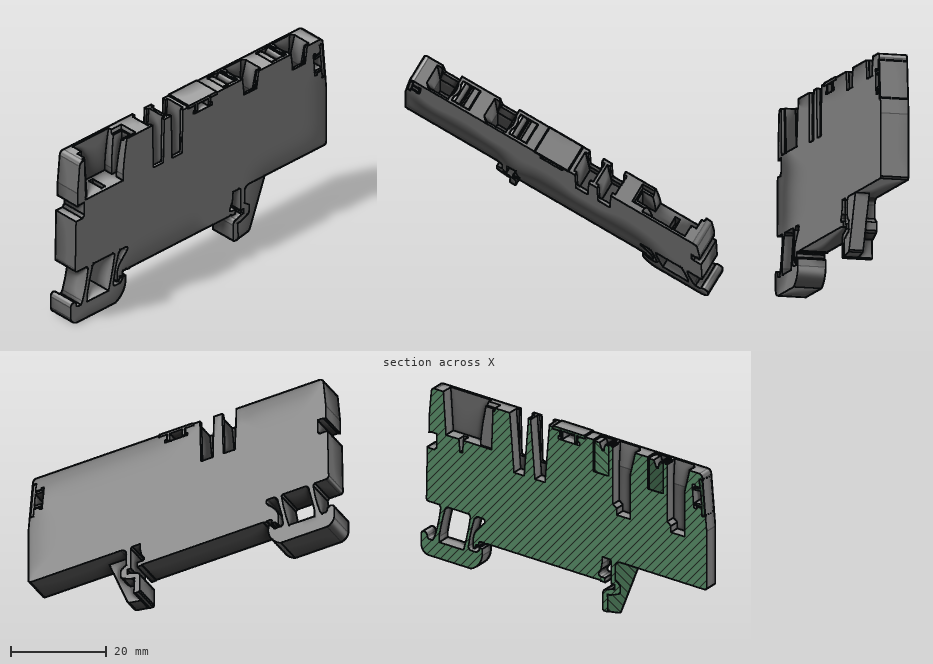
import cadquery as cq
import math

THICKNESS = 6.1
LENGTH = 73.4
BODY_TOP = 39.3
BODY_BOTTOM = 12.55
RAIL_SEAT = 7.0
SKIN = 0.5

REAR_BEND_HEIGHT = 26.4
REAR_TOP_Y = 72.35
REAR_TOP_HEIGHT = 38.3
REAR_LEAN = math.degrees(math.atan2(LENGTH - REAR_TOP_Y, REAR_TOP_HEIGHT - REAR_BEND_HEIGHT))

CONDUCTOR_PITCH = 13.95
CONDUCTOR_SHIFTS = (0, -CONDUCTOR_PITCH)
FUNNEL_FLOOR = 33.75
THROAT_FLOOR = 23.5
BUTTON_REAR = 62.5
BUTTON_FRONT = 58.5
BUTTON_GAP = 0.2
BUTTON_BOTTOM = 31.9
BUTTON_TOP = 39.05
BUTTON_X = 0.65
BUTTON_WIDTH = 4.7
ENTRY_FRONT = 63.25
GUIDE_BULGE = 0.45
ENTRY_BULGE_CHORD = 3.5
BUTTON_BULGE_CHORD = 2.8

SLOT_CENTERS = (30.5, 25.2)
SLOT_FLOOR = 28.7
SLOT_WIDTH_TOP = 3.4
SLOT_WIDTH_FLOOR = 2.85
SLOT_ROUNDING = 0.3
CAVITY_WALL = 0.7
CAVITY_FLOOR = 25.7
CAVITY_WIDTH_TOP = 4.7
CAVITY_WIDTH_FLOOR = 2.5

MARKER_LENGTH = 8.4
MARKER_THICKNESS = 0.65
MARKER_END_CHAMFER = 0.2
LEG_REACH = 1.7
LEG_OFFSET = 1.75
LEG_WIDTH = 0.6
WINDOW_DEPTH = 2.0
WINDOW_HALF_WIDTH = 2.3
WINDOW_FOOT_HALF_WIDTH = 2.7
WINDOW_FOOT_HEIGHT = 0.65
TOP_MARKER = (37.95, 39.5, 0)
REAR_MARKER = (72.5, 33.75, REAR_LEAN - 90)

RECESS_FLOOR = 29.35
RECESS_REAR_TOP = 16.15
RECESS_REAR_FLOOR = 15.05
RECESS_REAR_ROOT = 30.8

HOOK_ROUNDING = 1.3
WEB_THICKNESS = THICKNESS / 2


def side_sketch(x=0.0):
    """Sketch plane at a given X, with Y to the right and Z up."""
    return cq.Workplane("YZ", origin=(x, 0, 0))


def side_prism(points, x=0.0, width=THICKNESS):
    """Straight-sided outline of (Y, Z) points, extruded along X."""
    return side_sketch(x).polyline(points).close().extrude(width)


def box(x_range, y_range, z_range):
    """Box between pairs of limits."""
    size = [high - low for low, high in (x_range, y_range, z_range)]
    return cq.Workplane("XY").box(*size, centered=False).translate((x_range[0], y_range[0], z_range[0]))


def funnel(top_outline, floor_outline, floor):
    """Loft between an (X, Y) outline on the body top and one at the floor."""
    return (
        cq.Workplane("XY", origin=(0, 0, floor))
        .polyline(floor_outline)
        .close()
        .workplane(offset=BODY_TOP - floor)
        .polyline(top_outline)
        .close()
        .loft(ruled=True)
    )


def rectangle(x_range, y_range):
    """Corners of an (X, Y) rectangle."""
    (x0, x1), (y0, y1) = x_range, y_range
    return [(x0, y0), (x1, y0), (x1, y1), (x0, y1)]


def main_block():
    """Upper body with leaning ends and the catch notch in its front end."""
    return (
        side_sketch()
        .moveTo(2.0, BODY_BOTTOM)
        .lineTo(72.95, BODY_BOTTOM)
        .lineTo(LENGTH, 13.0)
        .lineTo(LENGTH, REAR_BEND_HEIGHT)
        .lineTo(REAR_TOP_Y, REAR_TOP_HEIGHT)
        .threePointArc((72.1, 39.0), (71.4, BODY_TOP))
        .lineTo(3.75, BODY_TOP)
        .threePointArc((2.9, 39.05), (2.6, 38.4))
        .lineTo(2.0, 31.9)
        .lineTo(2.0, 28.6)
        .lineTo(2.6, 28.85)
        .lineTo(3.95, 28.85)
        .lineTo(3.95, 25.75)
        .lineTo(3.4, 25.1)
        .lineTo(1.55, 25.1)
        .lineTo(1.3, 13.4)
        .threePointArc((1.5, 12.8), (2.0, BODY_BOTTOM))
        .close()
        .extrude(THICKNESS)
    )


def rail_block():
    """Block that rests on the rail, with its rear nose and its front hooked tip."""
    return (
        side_sketch()
        .moveTo(46.6, BODY_BOTTOM)
        .lineTo(46.5, 11.1)
        .lineTo(46.2, 9.55)
        .lineTo(45.8, 8.8)
        .threePointArc((45.7, 8.2), (46.2, 7.9))
        .lineTo(47.25, 7.9)
        .lineTo(47.25, 6.8)
        .lineTo(46.15, 6.8)
        .lineTo(46.15, RAIL_SEAT)
        .lineTo(16.95, RAIL_SEAT)
        .lineTo(16.95, 6.8)
        .lineTo(16.15, 6.8)
        .lineTo(16.15, RAIL_SEAT)
        .lineTo(15.1, RAIL_SEAT)
        .lineTo(14.9, 6.7)
        .lineTo(14.9, 5.95)
        .lineTo(14.2, 5.95)
        .lineTo(13.7, 5.0)
        .lineTo(13.35, 5.0)
        .lineTo(13.35, 7.2)
        .threePointArc((13.7, 8.6), (14.6, 9.8))
        .lineTo(16.15, 11.5)
        .threePointArc((16.3, 12.2), (15.85, BODY_BOTTOM))
        .close()
        .extrude(THICKNESS)
    )


def hook_back(outline):
    """Continue an outline down the +Y side of the rear hook, where the web meets it."""
    return (
        outline
        .lineTo(49.9 + HOOK_ROUNDING, BODY_BOTTOM)
        .radiusArc((49.9, BODY_BOTTOM - HOOK_ROUNDING), -HOOK_ROUNDING)
        .lineTo(49.9, 8.3)
        .lineTo(51.2, 7.35)
        .lineTo(51.2, 5.6)
        .lineTo(50.7, 5.1)
        .lineTo(48.5, 4.2)
        .lineTo(47.9, 4.2)
        .lineTo(48.1, 0.3)
    )


def rear_hook():
    """Springy strip that grips the rear edge of the rail."""
    return (
        hook_back(side_sketch().moveTo(48.45, BODY_BOTTOM))
        .lineTo(47.7, 0.15)
        .lineTo(46.9, 0.15)
        .lineTo(46.6, 0.45)
        .lineTo(46.6, 4.25)
        .threePointArc((46.9, 4.9), (47.55, 5.3))
        .lineTo(49.1, 5.9)
        .lineTo(49.7, 5.9)
        .lineTo(49.7, RAIL_SEAT)
        .lineTo(48.8, RAIL_SEAT)
        .lineTo(48.8, 12.2)
        .close()
        .extrude(THICKNESS)
    )


def front_foot():
    """Foot under the front rail edge, carried by two curved legs."""
    foot = (
        side_sketch()
        .moveTo(14.3, BODY_BOTTOM)
        .lineTo(13.7, 11.9)
        .threePointArc((13.0, 9.2), (12.25, 5.3))
        .threePointArc((12.3, 4.6), (12.8, 4.3))
        .lineTo(14.25, 4.3)
        .lineTo(14.9, 5.15)
        .lineTo(14.9, 5.5)
        .lineTo(15.8, 5.5)
        .lineTo(15.8, 4.0)
        .threePointArc((14.7, 1.4), (12.8, 0))
        .lineTo(1.7, 0)
        .threePointArc((0.6, 0.6), (0, 1.75))
        .lineTo(0, 4.4)
        .threePointArc((0.7, 5.3), (1.6, 4.55))
        .threePointArc((1.75, 4.1), (2.1, 3.9))
        .lineTo(2.9, 3.9)
        .lineTo(3.4, 4.6)
        .threePointArc((4.3, 8.1), (5.0, 11.95))
        .lineTo(4.6, BODY_BOTTOM)
        .close()
        .extrude(THICKNESS)
    )
    opening = (
        side_sketch()
        .moveTo(12.25, BODY_BOTTOM)
        .lineTo(6.7, BODY_BOTTOM)
        .lineTo(6.25, 12.0)
        .threePointArc((5.35, 8.6), (4.7, 5.3))
        .lineTo(4.7, 3.9)
        .lineTo(10.85, 3.9)
        .threePointArc((11.9, 8.0), (12.6, 12.1))
        .close()
        .extrude(THICKNESS)
    )
    return foot.cut(opening)


def guide_bulge(chord_y, chord, bottom):
    """Upright rounded bulge that reaches GUIDE_BULGE towards -Y from a chord at chord_y."""
    middle = BUTTON_X + BUTTON_WIDTH / 2
    return (
        cq.Workplane("XY", origin=(0, 0, bottom))
        .moveTo(middle - chord / 2, chord_y)
        .threePointArc((middle, chord_y - GUIDE_BULGE), (middle + chord / 2, chord_y))
        .close()
        .extrude(BODY_TOP - bottom)
    )


def wire_entry():
    """Tapered wire funnel with a sloped sill at its foot and a notch in its +X wall."""
    rear = 68.9
    side_x = 5.5
    throat_wall_x = 0.9
    throat_x = 4.4
    throat_rear = 67.6
    top_outline = [
        (0.45, ENTRY_FRONT),
        (side_x, ENTRY_FRONT),
        (side_x, rear),
        (1.2, rear),
        (0.45, rear - 0.7),
    ]
    floor_outline = [
        (throat_wall_x, ENTRY_FRONT),
        (throat_x, ENTRY_FRONT),
        (throat_x, throat_rear),
        (1.0, throat_rear),
        (throat_wall_x, throat_rear - 0.15),
    ]
    entry = funnel(top_outline, floor_outline, FUNNEL_FLOOR)
    throat = box((throat_wall_x, throat_x), (ENTRY_FRONT, throat_rear), (THROAT_FLOOR, FUNNEL_FLOOR))
    bulge = guide_bulge(ENTRY_FRONT, ENTRY_BULGE_CHORD, BODY_TOP - 0.3)

    notch_rear = 67.9
    notch_floor = 35.2
    notch = side_prism(
        [
            (ENTRY_FRONT, BODY_TOP),
            (ENTRY_FRONT + 0.45, notch_floor),
            (notch_rear - 0.6, notch_floor),
            (notch_rear, BODY_TOP),
        ],
        x=side_x,
        width=THICKNESS,
    )
    slope_below_notch = (
        cq.Workplane("XZ", origin=(0, throat_rear, 0))
        .polyline([(throat_x, FUNNEL_FLOOR), (side_x, notch_floor), (side_x, BODY_TOP), (throat_x, BODY_TOP)])
        .close()
        .extrude(throat_rear - ENTRY_FRONT)
    )

    sill_rear = 64.2
    sill = side_prism(
        [
            (ENTRY_FRONT, THROAT_FLOOR),
            (ENTRY_FRONT, THROAT_FLOOR + 2.2),
            (sill_rear, THROAT_FLOOR + 1.5),
            (sill_rear, THROAT_FLOOR),
        ]
    )
    return entry.union(throat).union(slope_below_notch).cut(sill).union(bulge).union(notch)


def button_well():
    """Well that guides one push-button, with a rounded bulge in its rear wall."""
    well = box(
        (BUTTON_X, BUTTON_X + BUTTON_WIDTH),
        (BUTTON_FRONT - BUTTON_GAP, BUTTON_REAR),
        (BUTTON_BOTTOM, BODY_TOP),
    )
    return well.cut(guide_bulge(BUTTON_REAR, BUTTON_BULGE_CHORD, BUTTON_BOTTOM))


def bridge_slot(center):
    """Slot across the full thickness, widened into a deeper cavity between its walls."""
    half_top = SLOT_WIDTH_TOP / 2
    half_floor = SLOT_WIDTH_FLOOR / 2
    slot = side_prism(
        [
            (center - half_top, BODY_TOP),
            (center - half_floor, SLOT_FLOOR),
            (center + half_floor, SLOT_FLOOR),
            (center + half_top, BODY_TOP),
        ]
    )
    slot = slot.edges("|X and <Z").fillet(SLOT_ROUNDING)
    cavity_x = (CAVITY_WALL, THICKNESS - CAVITY_WALL)
    cavity = funnel(
        rectangle(cavity_x, (center - CAVITY_WIDTH_TOP / 2, center + CAVITY_WIDTH_TOP / 2)),
        rectangle(cavity_x, (center - CAVITY_WIDTH_FLOOR / 2, center + CAVITY_WIDTH_FLOOR / 2)),
        CAVITY_FLOOR,
    )
    return slot.union(cavity)


def front_recess():
    """Recess open to +X, whose front wall is stepped in three drafted stages."""
    stages = ((SKIN, 6.45, 5.8), (3.15, 5.35, 4.6), (5.35, 4.3, 3.95))
    recess = None
    for x_start, front_floor, front_top in stages:
        stage = (
            side_sketch(x_start)
            .moveTo(RECESS_REAR_TOP, BODY_TOP)
            .threePointArc((15.5, 35.2), (RECESS_REAR_FLOOR, RECESS_REAR_ROOT))
            .lineTo(RECESS_REAR_FLOOR, RECESS_FLOOR)
            .lineTo(front_floor, RECESS_FLOOR)
            .lineTo(front_top, BODY_TOP)
            .close()
            .extrude(THICKNESS)
        )
        recess = stage if recess is None else recess.union(stage)
    return recess


def test_socket():
    """Stepped socket beside the recess and open towards it."""
    ledge_depth = 0.9
    mouth = funnel(
        rectangle((1.3, 5.6), (RECESS_REAR_FLOOR, 19.1)),
        rectangle((1.6, 5.0), (RECESS_REAR_FLOOR, 18.7)),
        BODY_TOP - ledge_depth,
    )
    channel = funnel(
        rectangle((2.05, 4.55), (RECESS_REAR_FLOOR, 18.4)),
        rectangle((2.7, 3.95), (RECESS_REAR_FLOOR, 18.05)),
        RECESS_FLOOR,
    )
    return mouth.union(channel)


def blade_slot():
    """Tapered slot for a flat blade in the recess floor."""
    slot_floor = RECESS_FLOOR - 2.9
    return (
        cq.Workplane("XY", origin=(0, 0, slot_floor))
        .polyline(rectangle((1.9, 4.55), (10.05, 10.6)))
        .close()
        .workplane(offset=RECESS_FLOOR - slot_floor)
        .polyline(rectangle((1.3, 5.15), (9.75, 10.85)))
        .close()
        .loft(ruled=True)
    )


def place_marker(shape, place):
    """Turn a marker-shaped solid about X and move it to its place on the housing."""
    y, z, turn = place
    return shape.rotate((0, 0, 0), (1, 0, 0), turn).translate((0, y, z))


def marker_plate():
    """Square-edged plate with its outer face centred on the origin."""
    return box((0, THICKNESS), (-MARKER_LENGTH / 2, MARKER_LENGTH / 2), (-MARKER_THICKNESS, 0))


def marker(place):
    """Marker strip with two legs that reach into the window below it."""
    strip = marker_plate().edges("|X and >Z").chamfer(MARKER_END_CHAMFER)
    for side in (-1, 1):
        leg_middle = side * LEG_OFFSET
        leg = box(
            (0, THICKNESS),
            (leg_middle - LEG_WIDTH / 2, leg_middle + LEG_WIDTH / 2),
            (-MARKER_THICKNESS - LEG_REACH, -MARKER_THICKNESS),
        )
        strip = strip.union(leg)
    return place_marker(strip, place)


def marker_seat(place):
    """Room for the marker plate and the window for its legs."""
    window_floor = -MARKER_THICKNESS - WINDOW_DEPTH
    foot_top = window_floor + WINDOW_FOOT_HEIGHT
    window = box(
        (0, THICKNESS),
        (-WINDOW_HALF_WIDTH, WINDOW_HALF_WIDTH),
        (window_floor, -MARKER_THICKNESS),
    )
    foot = box(
        (0, THICKNESS),
        (-WINDOW_FOOT_HALF_WIDTH, WINDOW_FOOT_HALF_WIDTH),
        (window_floor, foot_top),
    )
    foot = foot.edges("|X").fillet(WINDOW_FOOT_HEIGHT / 3)
    return place_marker(marker_plate().union(window).union(foot), place)


def make_housing():
    """Housing with every opening and seat cut into it."""
    housing = main_block().union(rail_block()).union(rear_hook()).union(front_foot())
    for shift in CONDUCTOR_SHIFTS:
        housing = housing.cut(wire_entry().translate((0, shift, 0)))
        housing = housing.cut(button_well().translate((0, shift, 0)))
    for center in SLOT_CENTERS:
        housing = housing.cut(bridge_slot(center))
    for place in (TOP_MARKER, REAR_MARKER):
        housing = housing.cut(marker_seat(place))
    return housing.cut(front_recess()).cut(test_socket()).cut(blade_slot())


def make_button(shift):
    """Push-button whose top has a rounded rib, a groove and a flat pad."""
    button = (
        side_sketch(BUTTON_X)
        .moveTo(BUTTON_FRONT, BUTTON_BOTTOM)
        .lineTo(BUTTON_REAR, BUTTON_BOTTOM)
        .lineTo(BUTTON_REAR, 38.8)
        .lineTo(61.9, BUTTON_TOP)
        .threePointArc((61.3, 38.8), (61.0, 38.3))
        .lineTo(60.85, 37.4)
        .lineTo(60.5, 37.4)
        .lineTo(59.8, BUTTON_TOP)
        .lineTo(BUTTON_FRONT, BUTTON_TOP)
        .close()
        .extrude(BUTTON_WIDTH)
    )
    button = button.cut(guide_bulge(BUTTON_REAR, BUTTON_BULGE_CHORD, BUTTON_BOTTOM))
    return button.translate((0, shift, 0))


def make_foot_web():
    """Wedge that backs the rear hook over the +X half of its width."""
    return (
        hook_back(side_sketch(THICKNESS - WEB_THICKNESS).moveTo(55.7, BODY_BOTTOM))
        .lineTo(50.9, 0.8)
        .lineTo(51.4, 1.2)
        .close()
        .extrude(WEB_THICKNESS)
    )


housing = make_housing()
foot_web = make_foot_web()
buttons = [make_button(shift) for shift in CONDUCTOR_SHIFTS]
markers = [marker(place) for place in (TOP_MARKER, REAR_MARKER)]

result = cq.Compound.makeCompound([body.val() for body in [housing, foot_web, *buttons, *markers]])